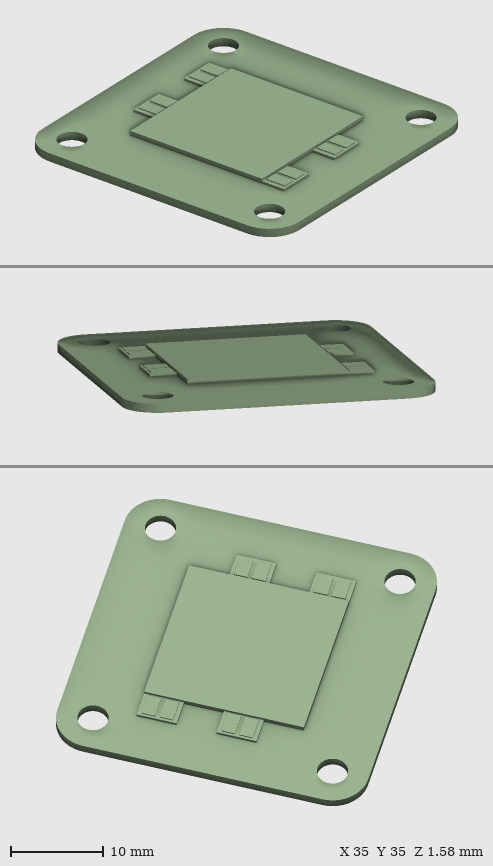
import cadquery as cq

board_side = 35.0
board_thickness = 1.0
corner_radius = 4.0
hole_diameter = 3.4
hole_spacing = 27.0

cover_side = 18.0
base_thickness = 0.3
cover_thickness = 0.28

tab_reach = 3.0
tab_length = cover_side / 4
tab_x = (cover_side + tab_reach) / 2
tab_centers = [
    (-tab_x, 1.5 * tab_length),
    (-tab_x, -0.5 * tab_length),
    (tab_x, 0.5 * tab_length),
    (tab_x, -1.5 * tab_length),
]

pad_size_x = 2.5
pad_size_y = 1.5
pad_height = 0.15
pad_gap = (tab_length - 2 * pad_size_y) / 3
pad_offset_y = (pad_size_y + pad_gap) / 2

base_top = board_thickness + base_thickness


def block(size_x, size_y, height, center, bottom):
    """Rectangular block standing on the level `bottom`."""
    return (
        cq.Workplane("XY", origin=(center[0], center[1], bottom))
        .rect(size_x, size_y)
        .extrude(height)
    )


def make_plate():
    """Rounded square plate with a hole near each corner."""
    return (
        cq.Workplane("XY")
        .rect(board_side, board_side)
        .extrude(board_thickness)
        .edges("|Z")
        .fillet(corner_radius)
        .faces(">Z")
        .workplane()
        .rect(hole_spacing, hole_spacing, forConstruction=True)
        .vertices()
        .hole(hole_diameter)
    )


def make_base():
    """Square base with four tabs, each carrying two pads."""
    base = block(cover_side, cover_side, base_thickness, (0, 0), board_thickness)
    for center in tab_centers:
        base = base.union(block(tab_reach, tab_length, base_thickness, center, board_thickness))
    for x, y in tab_centers:
        for pad_y in (y - pad_offset_y, y + pad_offset_y):
            base = base.union(block(pad_size_x, pad_size_y, pad_height, (x, pad_y), base_top))
    return base.clean()


def make_board():
    """Plate and raised base as one body."""
    return make_plate().union(make_base())


def make_cover():
    """Flat square cover lying on the base, flush with its edges."""
    return block(cover_side, cover_side, cover_thickness, (0, 0), base_top)


board = make_board()
cover = make_cover()

result = cq.Compound.makeCompound([board.val(), cover.val()])